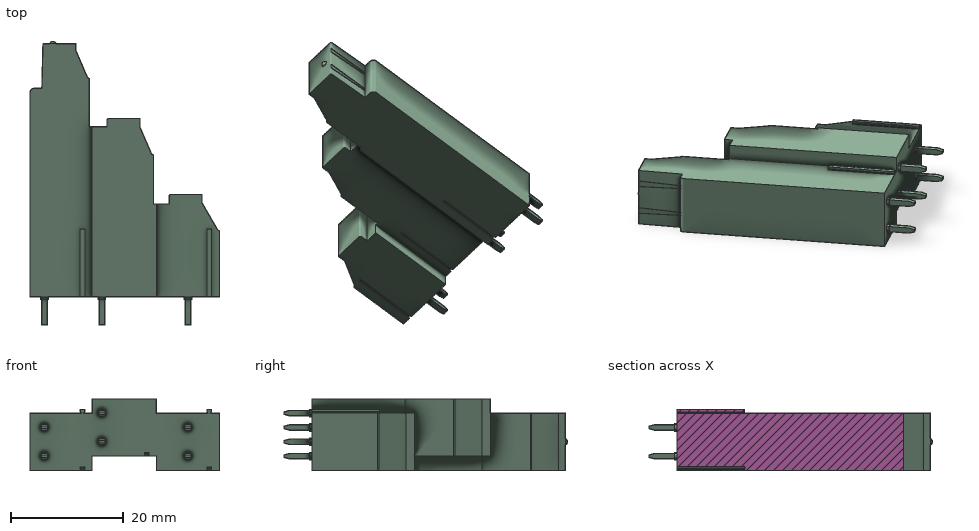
import cadquery as cq


PITCH = 5.08
HALF_PITCH = PITCH / 2
POLES = 2

TIER_HEIGHT = POLES * PITCH
TOTAL_HEIGHT = TIER_HEIGHT + HALF_PITCH
TOTAL_WIDTH = 33.6
MIDDLE_START = 11.04
MIDDLE_END = 22.38
TALL_TOP = 44.85
MIDDLE_TOP = 31.6
LOW_TOP = 18.15
TALL_WALL = 10.55
MIDDLE_WALL = 21.9
MIDDLE_FLOOR = 30.15
LOW_FLOOR = 16.5

SHOULDER_Y = 36.95
SHOULDER_X = 2.1
SHOULDER_RADIUS = 0.8
LEAN = 0.2

HEAD_WIDTH = 5.85
MIDDLE_HEAD_X = 13.65
LOW_HEAD_X = 24.65
HEAD_RADIUS = 0.3
TALL_HEAD_RADIUS = 0.2
TALL_HEAD_DROP = 1.2
HEAD_DROP = 1.5
SLOPE_DROP = 4.75
LEDGE_WIDTH = 0.35
LEDGE_DROP = 0.25

GROOVE_DEPTH = 0.06
GROOVE_TOP_WIDTH = 1.05
GROOVE_FOOT_WIDTH = 0.55

NUB_X = 4.08
NUB_RADIUS = 0.55
NUB_HEIGHT = 0.4

RIB_LENGTH = 12.0
RIB_HEIGHT = 0.65
RIB_CROWN_HEIGHT = 0.33
RIB_TOP_WIDTH = 0.85
RIB_NECK_WIDTH = 0.5
TALL_RIB_X = 9.32
MIDDLE_RIB_X = 20.7
LOW_RIB_X = 31.75

PIN_LENGTH = 4.95
PIN_SIZE = 1.0
TIP_LENGTH = 1.0
TIP_HEIGHT = 0.45
COLLAR_RADIUS = 0.67
COLLAR_LENGTH = 0.45
TALL_PIN_X = 2.6
MIDDLE_PIN_X = TALL_PIN_X + 2 * PITCH
LOW_PIN_X = MIDDLE_PIN_X + 3 * PITCH


def head_points(left, top, drop, wall):
    """Upright head, slope and foot bevel of one tier, left to right."""
    right = left + HEAD_WIDTH
    slope_end = top - drop - SLOPE_DROP
    return [
        (left, top),
        (right, top),
        (right, top - drop),
        (wall - LEDGE_WIDTH, slope_end),
        (wall, slope_end - LEDGE_DROP),
    ]


def tier_outline():
    """Stepped XY outline of all three tiers, extruded over the full height."""
    points = [(0, 0), (0, SHOULDER_Y), (SHOULDER_X, SHOULDER_Y)]
    points += head_points(SHOULDER_X + LEAN, TALL_TOP, TALL_HEAD_DROP, TALL_WALL)
    points += [(TALL_WALL, MIDDLE_FLOOR), (MIDDLE_HEAD_X, MIDDLE_FLOOR)]
    points += head_points(MIDDLE_HEAD_X, MIDDLE_TOP, HEAD_DROP, MIDDLE_WALL)
    points += [(MIDDLE_WALL, LOW_FLOOR), (LOW_HEAD_X, LOW_FLOOR)]
    points += head_points(LOW_HEAD_X, LOW_TOP, HEAD_DROP, TOTAL_WIDTH)
    points += [(TOTAL_WIDTH, 0)]
    return cq.Workplane("XY").polyline(points).close().extrude(TOTAL_HEIGHT)


def round_edge(body, x, y, radius):
    """Round the Z-parallel edge nearest to (x, y)."""
    nearest = cq.selectors.NearestToPointSelector((x, y, TOTAL_HEIGHT / 2))
    return body.edges("|Z").edges(nearest).fillet(radius)


def region(x_start, x_end, z_start, z_end):
    """Box over the given X and Z range, as long as the block in Y."""
    return cq.Workplane("XY").box(
        x_end - x_start, TALL_TOP, z_end - z_start, centered=False
    ).translate((x_start, 0, z_start))


def block():
    """Outline with the middle tier shifted up against the outer two."""
    body = tier_outline()
    body = round_edge(body, 0, SHOULDER_Y, SHOULDER_RADIUS)
    body = round_edge(body, SHOULDER_X + LEAN, TALL_TOP, TALL_HEAD_RADIUS)
    body = round_edge(body, MIDDLE_HEAD_X, MIDDLE_TOP, HEAD_RADIUS)
    body = round_edge(body, LOW_HEAD_X, LOW_TOP, HEAD_RADIUS)
    body = body.cut(region(0, MIDDLE_START, TIER_HEIGHT, TOTAL_HEIGHT))
    body = body.cut(region(MIDDLE_END, TOTAL_WIDTH, TIER_HEIGHT, TOTAL_HEIGHT))
    return body.cut(region(MIDDLE_START, MIDDLE_END, 0, HALF_PITCH))


def dovetail(x, z):
    """Bar on a face at height z: a neck flaring out to an upright crown."""
    neck = RIB_NECK_WIDTH / 2
    crown = RIB_TOP_WIDTH / 2
    points = [
        (x - neck, z),
        (x - crown, z + RIB_HEIGHT - RIB_CROWN_HEIGHT),
        (x - crown, z + RIB_HEIGHT),
        (x + crown, z + RIB_HEIGHT),
        (x + crown, z + RIB_HEIGHT - RIB_CROWN_HEIGHT),
        (x + neck, z),
    ]
    return cq.Workplane("XZ").polyline(points).close().extrude(-RIB_LENGTH)


def wall_groove(z):
    """Shallow groove down the leaning wall, narrowing towards the shoulder."""
    top = GROOVE_TOP_WIDTH / 2
    foot = GROOVE_FOOT_WIDTH / 2
    plan = [
        (SHOULDER_Y, z - foot),
        (TALL_TOP, z - top),
        (TALL_TOP, z + top),
        (SHOULDER_Y, z + foot),
    ]
    taper = cq.Workplane("YZ").polyline(plan).close().extrude(HEAD_WIDTH)
    foot_x = SHOULDER_X
    top_x = SHOULDER_X + LEAN
    skin_points = [
        (foot_x - LEAN, SHOULDER_Y),
        (foot_x + GROOVE_DEPTH, SHOULDER_Y),
        (top_x + GROOVE_DEPTH, TALL_TOP),
        (top_x - LEAN, TALL_TOP),
    ]
    skin = cq.Workplane("XY").polyline(skin_points).close().extrude(TIER_HEIGHT)
    return taper.intersect(skin)


def nub():
    """Sphere sunk into the end face of the tall tier so that only a cap stands out."""
    sphere_radius = (NUB_RADIUS**2 + NUB_HEIGHT**2) / (2 * NUB_HEIGHT)
    centre_y = TALL_TOP + NUB_HEIGHT - sphere_radius
    return cq.Workplane("XY").sphere(sphere_radius).translate((NUB_X, centre_y, PITCH))


def pin(x, z):
    """Square pin with a round collar and a tip flattened in Z."""
    half = PIN_SIZE / 2
    half_tip = TIP_HEIGHT / 2
    side = [
        (0, z - half),
        (TIP_LENGTH - PIN_LENGTH, z - half),
        (-PIN_LENGTH, z - half_tip),
        (-PIN_LENGTH, z + half_tip),
        (TIP_LENGTH - PIN_LENGTH, z + half),
        (0, z + half),
    ]
    shaft = cq.Workplane("YZ").polyline(side).close().extrude(PIN_SIZE)
    shaft = shaft.translate((x - half, 0, 0))
    collar = cq.Workplane("XZ").center(x, z).circle(COLLAR_RADIUS).extrude(COLLAR_LENGTH)
    return collar.union(shaft)


result = block()

for pole in range(POLES):
    result = result.cut(wall_groove(HALF_PITCH + pole * PITCH))

result = result.union(nub())

for rib_x in (TALL_RIB_X, LOW_RIB_X):
    result = result.cut(dovetail(rib_x, 0))
    result = result.union(dovetail(rib_x, TIER_HEIGHT))
result = result.cut(dovetail(MIDDLE_RIB_X, HALF_PITCH))

for pin_x, first_z in (
    (TALL_PIN_X, HALF_PITCH),
    (MIDDLE_PIN_X, PITCH),
    (LOW_PIN_X, HALF_PITCH),
):
    for pole in range(POLES):
        result = result.union(pin(pin_x, first_z + pole * PITCH))